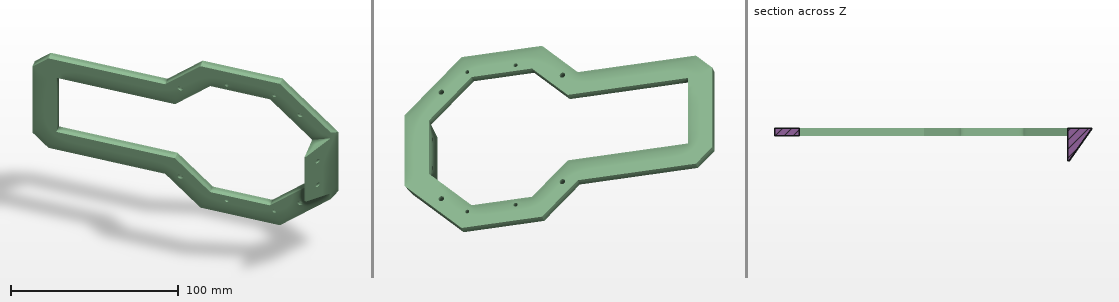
import cadquery as cq
import math

LENGTH = 190.0
HEIGHT = 120.0
DEPTH = 20.0
PLATE_THICKNESS = 5.0
BAND_WIDTH = 15.0
HANDLE_HALF_HEIGHT = 38.0
HANDLE_CHAMFER = 10.0
WEDGE_TIP = 1.0

LARGE_HOLE_DIAMETER = 3.5
SMALL_HOLE_DIAMETER = 2.5
LARGE_HOLE_OFFSET = 37.5
SMALL_HOLE_SPACING = 29.8
SMALL_HOLE_SHIFT = 6.5
SMALL_HOLE_Z = 49.0
WEDGE_HOLE_DIAMETER = 3.2
WEDGE_HOLE_X = 180.8
WEDGE_HOLE_Z = 10.0

APOTHEM = HEIGHT / 2
CENTRE_X = LENGTH - APOTHEM
SIDE_RATIO = math.tan(math.radians(22.5))
SLOPE_RUN = BAND_WIDTH - WEDGE_TIP


def keyhole(apothem, left_x, handle_half_height, corner_chamfer=0):
    """Points of an octagon joined to a rectangular handle, symmetric about Z = 0."""
    half_side = apothem * SIDE_RATIO
    junction_x = CENTRE_X - half_side - (apothem - handle_half_height)
    upper = [
        (left_x + corner_chamfer, handle_half_height),
        (junction_x, handle_half_height),
        (CENTRE_X - half_side, apothem),
        (CENTRE_X + half_side, apothem),
        (CENTRE_X + apothem, half_side),
    ]
    if corner_chamfer:
        upper.insert(0, (left_x, handle_half_height - corner_chamfer))
    return upper + [(x, -z) for x, z in reversed(upper)]


def extrude_forward(points, depth):
    """Prism from the back face towards -Y."""
    return cq.Workplane("XZ").polyline(points).close().extrude(depth)


def make_frame():
    outer = keyhole(APOTHEM, 0, HANDLE_HALF_HEIGHT, HANDLE_CHAMFER)
    inner = keyhole(APOTHEM - BAND_WIDTH, BAND_WIDTH, HANDLE_HALF_HEIGHT - BAND_WIDTH)
    return extrude_forward(outer, PLATE_THICKNESS).cut(extrude_forward(inner, PLATE_THICKNESS))


def make_wedge_block():
    """Full-depth block over the right-hand side of the octagon, with mitred ends."""
    inner_x = LENGTH - BAND_WIDTH
    inner_half = (APOTHEM - BAND_WIDTH) * SIDE_RATIO
    outer_half = APOTHEM * SIDE_RATIO
    points = [
        (inner_x, -inner_half),
        (LENGTH, -outer_half),
        (LENGTH, outer_half),
        (inner_x, inner_half),
    ]
    return extrude_forward(points, DEPTH)


def make_slope_cutter():
    """Removes everything outside the sloped face on the right-hand end."""
    return (
        cq.Workplane("XY")
        .polyline([(LENGTH, 0), (LENGTH, -DEPTH), (LENGTH - SLOPE_RUN, -DEPTH)])
        .close()
        .extrude(APOTHEM, both=True)
    )


def hole_rectangle(middle_x, width, height, diameter):
    """Four pins through the plate, at the corners of a rectangle."""
    return (
        cq.Workplane("XZ", origin=(middle_x, 0, 0))
        .rect(width, height, forConstruction=True)
        .vertices()
        .circle(diameter / 2)
        .extrude(PLATE_THICKNESS)
    )


def make_plate_holes():
    large_holes = hole_rectangle(
        CENTRE_X, 2 * LARGE_HOLE_OFFSET, 2 * LARGE_HOLE_OFFSET, LARGE_HOLE_DIAMETER
    )
    small_holes = hole_rectangle(
        CENTRE_X + SMALL_HOLE_SHIFT, SMALL_HOLE_SPACING, 2 * SMALL_HOLE_Z, SMALL_HOLE_DIAMETER
    )
    return large_holes.union(small_holes)


def make_wedge_holes():
    """Through holes square to the sloped face."""
    start_y = -(LENGTH - WEDGE_HOLE_X) * DEPTH / SLOPE_RUN
    sloped_plane = cq.Plane(
        origin=(WEDGE_HOLE_X, start_y, 0),
        xDir=(0, 0, 1),
        normal=(DEPTH, -SLOPE_RUN, 0),
    )
    return (
        cq.Workplane(sloped_plane)
        .pushPoints([(-WEDGE_HOLE_Z, 0), (WEDGE_HOLE_Z, 0)])
        .circle(WEDGE_HOLE_DIAMETER / 2)
        .extrude(BAND_WIDTH, both=True)
    )


result = (
    make_frame()
    .union(make_wedge_block())
    .cut(make_slope_cutter())
    .cut(make_plate_holes())
    .cut(make_wedge_holes())
)